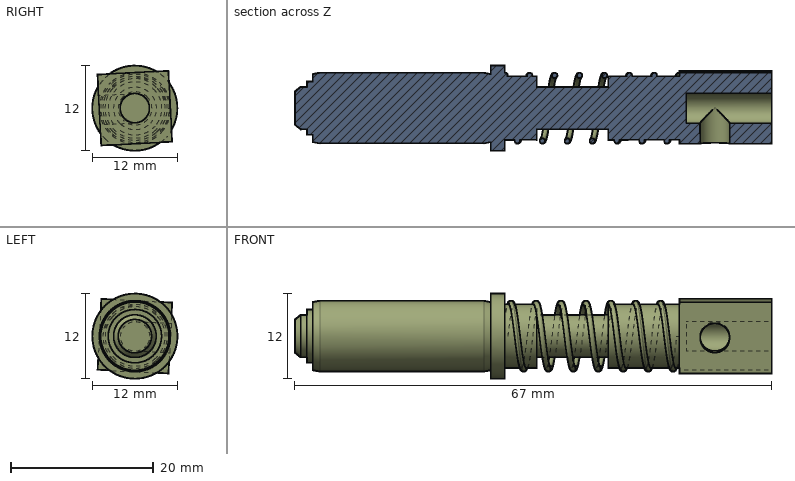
import cadquery as cq


tip_diameter = 6.0
tip_length = 1.7
tip_chamfer_length = 0.8
tip_chamfer_depth = 0.65
shoulder_diameter = 7.5
shoulder_length = 0.8

sleeve_diameter = 10.0
sleeve_length = 25.0
taper_length = 1.0
taper_depth = 0.2
flange_diameter = 12.0
flange_length = 2.0

rod_diameter = 6.0
collar_diameter = 9.0
front_collar_length = 4.5
rod_length = 10.0
rear_collar_length = 10.0

wire_diameter = 0.8
spring_outer_diameter = 10.0
spring_turns = 7

block_side = 10.0
block_length = 13.0
block_turn = 3.0
cross_hole_diameter = 4.13
cross_hole_from_end = 8.0
end_bore_diameter = cross_hole_diameter
end_bore_depth = 12.0

shoulder_start = tip_length
sleeve_start = shoulder_start + shoulder_length
flange_start = sleeve_start + sleeve_length
flange_end = flange_start + flange_length
rod_start = flange_end + front_collar_length
rear_collar_start = rod_start + rod_length
block_start = rear_collar_start + rear_collar_length
block_end = block_start + block_length


def cylinder(start, length, diameter):
    """Cylinder on the X axis, running toward +X from start."""
    return cq.Workplane("YZ", origin=(start, 0, 0)).circle(diameter / 2).extrude(length)


def make_tip():
    tip = cylinder(0, tip_length, tip_diameter)
    tip = tip.faces("<X").chamfer(tip_chamfer_length, tip_chamfer_depth)
    return tip.union(cylinder(shoulder_start, shoulder_length, shoulder_diameter))


def make_sleeve():
    radius = sleeve_diameter / 2
    end_radius = radius - taper_depth
    profile = (
        cq.Workplane("XY")
        .moveTo(sleeve_start, 0)
        .lineTo(sleeve_start, end_radius)
        .lineTo(sleeve_start + taper_length, radius)
        .lineTo(flange_start - taper_length, radius)
        .lineTo(flange_start, end_radius)
        .lineTo(flange_start, 0)
        .close()
    )
    sleeve = profile.revolve(360, (0, 0, 0), (1, 0, 0))
    return sleeve.union(cylinder(flange_start, flange_length, flange_diameter))


def make_rod():
    front_collar = cylinder(flange_end, front_collar_length, collar_diameter)
    rod = cylinder(rod_start, rod_length, rod_diameter)
    rear_collar = cylinder(rear_collar_start, rear_collar_length, collar_diameter)
    return front_collar.union(rod).union(rear_collar)


def make_spring():
    """Right-handed coil about X, built turn by turn, that starts on the +Y side of the flange."""
    pitch = (block_start - flange_end) / spring_turns
    coil_radius = (spring_outer_diameter - wire_diameter) / 2
    helix = cq.Workplane(cq.Wire.makeHelix(pitch, pitch, coil_radius))
    wire_section = cq.Workplane("XZ", origin=(coil_radius, 0, 0)).circle(wire_diameter / 2)
    turn = wire_section.sweep(helix, isFrenet=True).val()
    turns = []
    for index in range(spring_turns):
        seat = cq.Plane(origin=(flange_end + index * pitch, 0, 0), xDir=(0, 1, 0), normal=(1, 0, 0))
        turns.append(turn.moved(seat.location))
    return turns


def make_block():
    """Square block with a blind bore in its +X end and a hole from its -Y side into that bore."""
    block = cq.Workplane("YZ", origin=(block_start, 0, 0)).rect(block_side, block_side).extrude(block_length)
    end_bore = cylinder(block_end - end_bore_depth, end_bore_depth, end_bore_diameter)
    cross_hole = (
        cq.Workplane("XZ", origin=(block_end - cross_hole_from_end, 0, 0))
        .circle(cross_hole_diameter / 2)
        .extrude(block_side)
    )
    block = block.cut(end_bore).cut(cross_hole)
    return block.rotate((0, 0, 0), (1, 0, 0), block_turn)


result = make_tip().union(make_sleeve()).union(make_rod()).union(make_block())
for spring_turn in make_spring():
    result = result.union(cq.Workplane(spring_turn), clean=False)